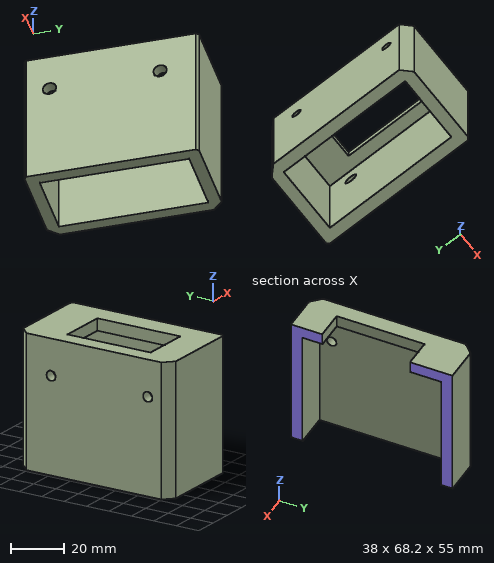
import cadquery as cq

width = 38.0
length = 68.15
height = 55.0
front_chamfer = 4.0
back_chamfer = 1.0

opening_width = 21.0
opening_length = 37.0
opening_center = (-1.5, -2.3)

top_wall = 5.0
side_wall = 5.0

front_hole_diameter = 4.0
back_hole_diameter = 5.2
hole_depth_from_top = 15.0
hole_positions_y = (19.1, -24.0)

top_z = height / 2
hole_z = top_z - hole_depth_from_top


def make_block():
    block = cq.Workplane("XY").box(width, length, height)
    block = block.edges("|Z and <X").chamfer(front_chamfer)
    return block.edges("|Z and >X").chamfer(back_chamfer)


def make_cavity():
    cavity = cq.Workplane("XY").box(width - 2 * side_wall, length - 2 * side_wall, height)
    return cavity.translate((0, 0, -top_wall))


def make_opening():
    opening = cq.Workplane("XY").box(opening_width, opening_length, height)
    return opening.translate((*opening_center, 0))


def make_holes(diameter, start_x):
    """Cylinders half the block width long, running toward +X from start_x."""
    points = [(y, hole_z) for y in hole_positions_y]
    plane = cq.Workplane("YZ", origin=(start_x, 0, 0))
    return plane.pushPoints(points).circle(diameter / 2).extrude(width / 2)


result = make_block().cut(make_cavity()).cut(make_opening())
result = result.cut(make_holes(front_hole_diameter, -width / 2))
result = result.cut(make_holes(back_hole_diameter, 0))